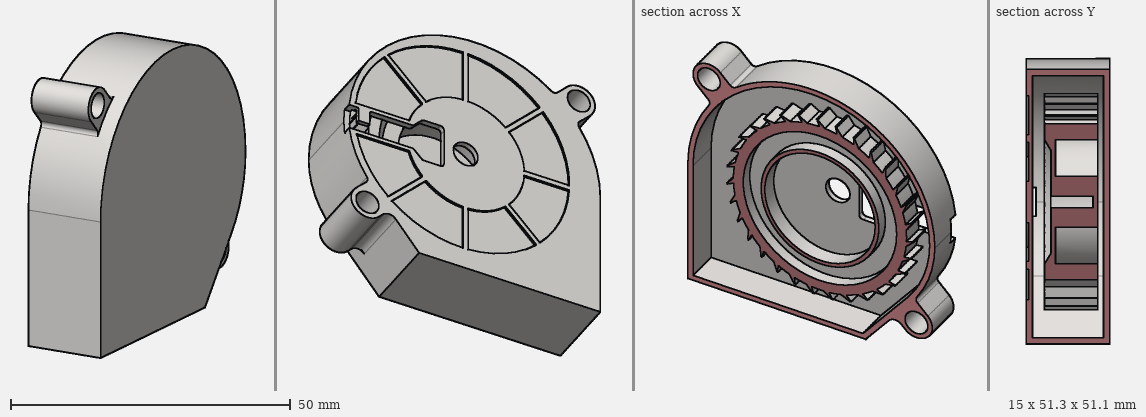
import cadquery as cq
import math


depth = 15.0
scroll_radius = 25.65
scroll_offset = 1.8
tongue_radius = scroll_radius - 2 * scroll_offset
side_y = -scroll_offset - scroll_radius
rim_y = scroll_radius - scroll_offset
height = 51.1
bottom_z = scroll_radius - height
slant_foot_y = 9.5
slant_reach = math.hypot(slant_foot_y - scroll_offset, bottom_z)
slant_angle = math.degrees(
    math.atan2(-bottom_z, scroll_offset - slant_foot_y) - math.asin(tongue_radius / slant_reach)
)
wall = 1.2

lug_length = 11.8
lug_radius = 3.35
lug_hole_diameter = 4.6
upper_lug = (-23.05, 20.05)
lower_lug = (20.0, -17.9)
lug_fillet = 0.9
slant_fillet = 1.75

panel_depth = 0.4
panel_inner_radius = 11.95
panel_outer_radius = 21.85
panel_outer_shift = 0.7
spoke_width = 1.05
spoke_angles = range(0, 360, 45)
slot_border_width = 6.75

axis_hole_diameter = 5.0
slot_width = 5.15
rim_notch_depth = 1.75
rim_notch_start_y = 22.05
window_end_y = 4.4
window_shoulder_y = 8.75
window_width = 9.0
window_neck_y = window_shoulder_y + (window_width - slot_width) / 2
window_corner = 0.8
window_neck_fillet = 0.5
tab_y = (19.5, 21.8)
tab_end_z = -0.3
tab_thickness = 0.8
tab_root_fillet = 0.35

cup_inner_radius = 22.8 / 2
cup_outer_radius = 24.5 / 2
cup_wall = cup_outer_radius - cup_inner_radius
cone_inner_radius = 14.55
cone_outer_radius = 15.85
ring_radius = 18.0
ring_x = 3.3
disc_x = 4.4
impeller_end_x = 12.8
blade_count = 31
blade_root_radius = 17.75
blade_tip_radius = 19.35
blade_upper_root = -2.8
blade_lower_root = -7.3
blade_upper_tip = -0.7
blade_lower_tip = -1.6


def plane(x=0.0):
    """Work plane across the axis at the given X, with local axes Y and Z."""
    return cq.Workplane("YZ", origin=(x, 0, 0))


def disc(radius, x_start, x_end, centre=(0, 0)):
    return plane(x_start).center(*centre).circle(radius).extrude(x_end - x_start)


def bar(y_start, y_end, width, x_end):
    """Rectangular bar along Y, centred on Z = 0, from X = 0."""
    return plane().center((y_start + y_end) / 2, 0).rect(abs(y_end - y_start), width).extrude(x_end)


def polar(radius, angle):
    return (radius * math.cos(math.radians(angle)), radius * math.sin(math.radians(angle)))


def tongue_point(angle):
    y, z = polar(tongue_radius, angle)
    return (y + scroll_offset, z)


def make_scroll(length):
    """Scroll with a straight outlet side, tapering to a tangent slant below the tongue arc."""
    slant_top = tongue_point(slant_angle - 90)
    return (
        plane()
        .moveTo(side_y, 0)
        .threePointArc((-scroll_offset, scroll_radius), (rim_y, 0))
        .threePointArc(tongue_point((slant_angle - 90) / 2), slant_top)
        .lineTo(slant_foot_y, bottom_z)
        .lineTo(side_y, bottom_z)
        .close()
        .extrude(length)
    )


def make_lug(centre):
    """Round boss joined to the scroll by a neck that runs in at 45 degrees."""
    inward = -45 if centre[0] < 0 else 135
    neck = (
        cq.Workplane("XY")
        .box(lug_length, 2 * lug_radius, 2 * lug_radius, centered=(False, False, True))
        .rotate((0, 0, 0), (1, 0, 0), inward)
        .translate((0, *centre))
    )
    return disc(lug_radius, 0, lug_length, centre).union(neck)


def flank_on_arc(lug, side, centre_y, radius):
    """Where a 45 degree lug flank (upper: side = 1, lower: side = -1) meets an arc of the scroll."""
    offset = (lug[0] - centre_y + lug[1]) / math.sqrt(2) + side * lug_radius
    run = math.copysign(math.sqrt(radius**2 - offset**2), lug[0])
    return (centre_y + (offset + run) / math.sqrt(2), (offset - run) / math.sqrt(2))


def flank_on_slant(lug):
    """Where the lower flank of a lug meets the slant."""
    flank_sum = lug[0] + lug[1] - lug_radius * math.sqrt(2)
    slope = math.tan(math.radians(slant_angle))
    y = (flank_sum - bottom_z + slope * slant_foot_y) / (1 + slope)
    return (y, flank_sum - y)


def fillet_at(body, corner, radius):
    """Fillet the edge along X that passes through a point of the YZ plane."""
    edge = body.edges("|X").edges(cq.selectors.NearestToPointSelector((lug_length / 2, *corner)))
    return edge.fillet(radius)


def make_shell():
    """Lugged outer body, hollowed to an even wall."""
    lugged = make_scroll(lug_length).union(make_lug(upper_lug)).union(make_lug(lower_lug)).clean()
    for side in (1, -1):
        corner = flank_on_arc(upper_lug, side, -scroll_offset, scroll_radius)
        lugged = fillet_at(lugged, corner, lug_fillet)
    corner = flank_on_arc(lower_lug, 1, scroll_offset, tongue_radius)
    lugged = fillet_at(lugged, corner, lug_fillet)
    lugged = fillet_at(lugged, flank_on_slant(lower_lug), slant_fillet)

    shell = make_scroll(depth).union(lugged)
    for lug in (upper_lug, lower_lug):
        shell = shell.cut(disc(lug_hole_diameter / 2, 0, lug_length, lug))
    cavity = (
        plane().add(make_scroll(depth).faces("<X").wires()).toPending()
        .offset2D(-wall)
        .extrude(depth - 2 * wall)
        .translate((wall, 0, 0))
    )
    return shell.cut(cavity)


def make_panels():
    """Ring of shallow recesses between the spokes."""
    outer_centre = (panel_outer_shift, panel_outer_shift)
    panels = disc(panel_outer_radius, 0, panel_depth, outer_centre)
    panels = panels.cut(disc(panel_inner_radius, 0, panel_depth))
    for angle in spoke_angles:
        spoke = bar(0, scroll_radius, spoke_width, panel_depth)
        panels = panels.cut(spoke.rotate((0, 0, 0), (1, 0, 0), angle))
    return panels.cut(bar(0, scroll_radius, slot_border_width, panel_depth))


def make_wire_opening():
    """Slot through the back wall and rim, widening to a window and crossed in part by a tab."""
    window_half = window_width / 2
    slot_half = slot_width / 2
    opening = (
        plane()
        .polyline([
            (window_end_y, -window_half), (window_shoulder_y, -window_half),
            (window_neck_y, -slot_half), (rim_y, -slot_half),
            (rim_y, slot_half), (window_neck_y, slot_half),
            (window_shoulder_y, window_half), (window_end_y, window_half),
        ])
        .close()
        .extrude(wall)
    )
    opening = opening.edges("|X and <Y").fillet(window_corner)
    window_bends = cq.selectors.BoxSelector(
        (0, window_end_y + window_corner, -window_width), (wall, panel_inner_radius, window_width)
    )
    opening = opening.edges("|X").edges(window_bends).fillet(window_neck_fillet)
    rim_notch = bar(rim_notch_start_y, rim_y, slot_width, rim_notch_depth)
    return opening.union(rim_notch)


def make_tab():
    """Tab that hangs into the slot from its upper edge, flared at the root by fillets."""
    y_start, y_end = tab_y
    root_z = slot_width / 2
    return (
        plane()
        .moveTo(y_start - tab_root_fillet, root_z)
        .radiusArc((y_start, root_z - tab_root_fillet), tab_root_fillet)
        .lineTo(y_start, tab_end_z)
        .lineTo(y_end, tab_end_z)
        .lineTo(y_end, root_z - tab_root_fillet)
        .radiusArc((y_end + tab_root_fillet, root_z), tab_root_fillet)
        .close()
        .extrude(tab_thickness)
    )


def make_housing():
    housing = make_shell().cut(make_panels()).cut(make_wire_opening()).union(make_tab())
    return housing.cut(disc(axis_hole_diameter / 2, 0, wall))


def make_blade():
    """Wedge-shaped blade, widest at the ring and leaning upwards to its tip."""
    return (
        plane(ring_x)
        .polyline([
            polar(blade_root_radius, blade_lower_root), polar(blade_root_radius, blade_upper_root),
            polar(blade_tip_radius, blade_upper_tip), polar(blade_tip_radius, blade_lower_tip),
        ])
        .close()
        .extrude(impeller_end_x - ring_x)
    )


def make_impeller():
    """Revolved cup, disc and ring, with blades around the ring."""
    impeller = (
        cq.Workplane("XY")
        .polyline([
            (impeller_end_x, 0), (impeller_end_x, cup_outer_radius),
            (disc_x + cup_wall, cup_outer_radius), (disc_x + cup_wall, cone_outer_radius),
            (impeller_end_x, cone_outer_radius), (impeller_end_x, ring_radius),
            (ring_x, ring_radius), (ring_x, cone_outer_radius), (disc_x, cone_inner_radius),
            (disc_x, cup_inner_radius), (impeller_end_x - cup_wall, cup_inner_radius),
            (impeller_end_x - cup_wall, 0),
        ])
        .close()
        .revolve(360, (0, 0, 0), (1, 0, 0))
    )
    blade = make_blade()
    for index in range(blade_count):
        impeller = impeller.union(blade.rotate((0, 0, 0), (1, 0, 0), index * 360 / blade_count))
    return impeller


housing = make_housing()
impeller = make_impeller()
result = cq.Compound.makeCompound([housing.solids().val(), impeller.solids().val()])